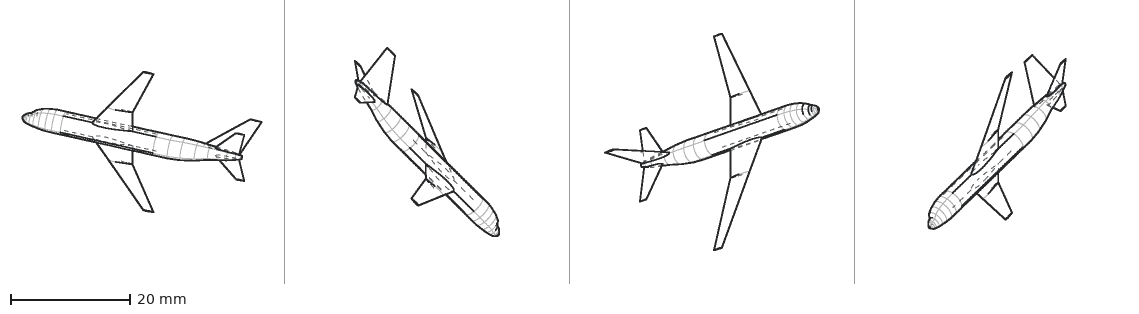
import cadquery as cq
import math

WING_SPAN = 39.17
BODY_RADIUS = 2.0
FIN_TIP_Y = 9.1

FUSELAGE_RINGS = [
    (0, -0.65, 0.2, 0.2),
    (0.25, -0.65, 0.47, 0.47),
    (0.5, -0.65, 0.7, 0.7),
    (0.8, -0.63, 0.85, 0.85),
    (1.35, -0.63, 1.0, 1.05),
    (2.05, -0.3, 1.45, 1.37),
    (3.0, -0.15, 1.72, 1.72),
    (4.2, -0.08, 1.9, 1.9),
    (5.35, 0, BODY_RADIUS, BODY_RADIUS),
    (6.9, 0, BODY_RADIUS, BODY_RADIUS),
    (23.0, 0, BODY_RADIUS, BODY_RADIUS),
    (25.45, 0, BODY_RADIUS, BODY_RADIUS),
    (27.6, 0.1, 1.88, BODY_RADIUS),
    (29.95, 0.35, 1.65, 1.72),
    (32.08, 0.63, 1.25, 1.35),
    (35.17, 0.85, 0.85, 0.9),
    (36.6, 1.0, 0.6, 0.65),
    (37.65, 1.05, 0.27, 0.3),
]

WING_Y = 0
WING_KINK_Z = 7.35
WING_ROOT_LEADING_X = 10.93
WING_KINK_LEADING_X = 14.65
WING_TIP_LEADING_X = 20.8
WING_INNER_TRAILING_X = 18.95
WING_TIP_TRAILING_X = 22.6
WING_ROOT_THICKNESS = 0.14
WING_OUTER_THICKNESS = 0.11

TAIL_Y = 1.1
TAIL_THICKNESS = 0.1
TAILPLANE_ROOT_X = (32.28, 37.05)
TAILPLANE_TIP_X = (36.62, 38.07)
TAILPLANE_TIP_Z = 6.55
FIN_ROOT_X = (30.05, 37.0)
FIN_TIP_X = (36.85, 38.9)

PROFILE_STEPS = 8


def half_thickness(position):
    """NACA four-digit half thickness, per unit chord and unit thickness, with a closed tail."""
    return 5 * (
        0.2969 * math.sqrt(position)
        - 0.126 * position
        - 0.3516 * position**2
        + 0.2843 * position**3
        - 0.1036 * position**4
    )


def airfoil(plane_origin, span_direction, leading_x, trailing_x, thickness):
    """Symmetric airfoil wire with its chord along X, square to the span direction."""
    plane = cq.Plane(origin=plane_origin, xDir=(1, 0, 0), normal=span_direction)
    chord = trailing_x - leading_x
    points = []
    for step in range(-PROFILE_STEPS, PROFILE_STEPS + 1):
        position = 1 - math.cos(step / PROFILE_STEPS * math.pi / 2)
        height = math.copysign(half_thickness(position), step) * thickness * chord
        points.append((leading_x + position * chord, height))
    points[0] = points[-1] = (trailing_x, 0)
    return cq.Workplane(plane).spline(points).wire().val()


def panel(root, tip):
    return cq.Workplane(cq.Solid.makeLoft([root, tip], True))


def make_fuselage():
    rings = []
    for x, centre_y, half_height, half_width in FUSELAGE_RINGS:
        ring = cq.Workplane("YZ", origin=(x, centre_y, 0)).moveTo(half_height, 0)
        for start in (0, 90, 180, 270):
            ring = ring.ellipseArc(half_height, half_width, start, start + 90, startAtCurrent=True)
        rings.append(ring.wire().val())
    return cq.Workplane(cq.Solid.makeLoft(rings, True))


def make_left_wing():
    span = (0, 0, 1)
    root = airfoil((0, WING_Y, 0), span, WING_ROOT_LEADING_X, WING_INNER_TRAILING_X, WING_ROOT_THICKNESS)
    kink = airfoil(
        (0, WING_Y, WING_KINK_Z), span, WING_KINK_LEADING_X, WING_INNER_TRAILING_X, WING_OUTER_THICKNESS
    )
    tip = airfoil(
        (0, WING_Y, WING_SPAN / 2), span, WING_TIP_LEADING_X, WING_TIP_TRAILING_X, WING_OUTER_THICKNESS
    )
    return panel(root, kink).union(panel(kink, tip))


def make_left_tailplane():
    span = (0, 0, 1)
    root = airfoil((0, TAIL_Y, 0), span, *TAILPLANE_ROOT_X, TAIL_THICKNESS)
    tip = airfoil((0, TAIL_Y, TAILPLANE_TIP_Z), span, *TAILPLANE_TIP_X, TAIL_THICKNESS)
    return panel(root, tip)


def make_fin():
    span = (0, 1, 0)
    root = airfoil((0, TAIL_Y, 0), span, *FIN_ROOT_X, TAIL_THICKNESS)
    tip = airfoil((0, FIN_TIP_Y, 0), span, *FIN_TIP_X, TAIL_THICKNESS)
    return panel(root, tip)


result = make_fuselage()
for surface in (make_left_wing(), make_left_tailplane()):
    result = result.union(surface).union(surface.mirror("XY"))
result = result.union(make_fin())